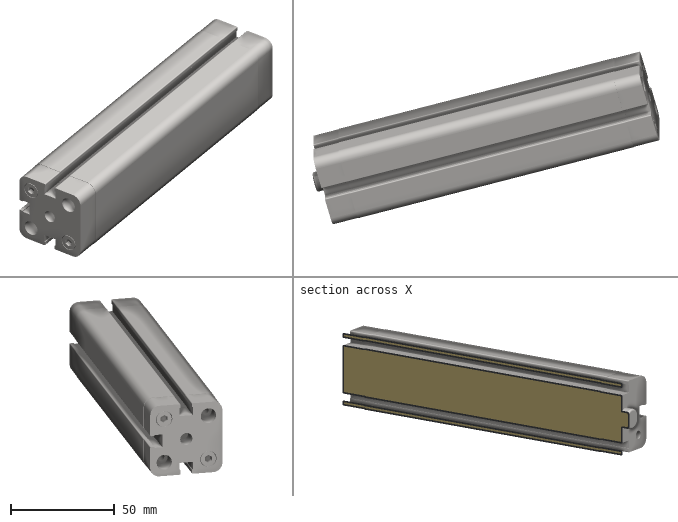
import cadquery as cq
import math

total_length = 167.5
rod_length = 4.2
housing_length = total_length - rod_length
width = 36.2
corner_radius = 4.7

cap_length = 12.5
cap_inset = 0.2

slot_depth = 6.0
slot_width = 6.5
slot_mouth_width = 5.5
slot_lip_thickness = 2.0
slot_lip_radius = (slot_width - slot_mouth_width) / 2

hole_spacing = 22.0
hole_offset = hole_spacing / 2
hole_diameter = 4.2
counterbore_diameter = 7.5
counterbore_depth = 8.4

screw_bore_diameter = 8.0
screw_head_diameter = 7.5
screw_gap_depth = 3.4
socket_across_flats = 3.5
socket_depth = 2.5

center_hole_diameter = 6.0
center_hole_depth = 8.4

rod_diameter = 10.0
rod_end_radius = 1.0
flats_across = 8.0
flats_length = 3.2

mounting_hole_places = [(hole_offset, hole_offset), (-hole_offset, -hole_offset)]
cap_screw_places = [(-hole_offset, hole_offset), (hole_offset, -hole_offset)]


def section_plane(y):
    """Plane at y with local axes X and Z; its normal is -Y, so negative extrusions go toward +Y."""
    return cq.Workplane(cq.Plane(origin=(0, y, 0), xDir=(1, 0, 0), normal=(0, -1, 0)))


def bar(y, length, inset):
    """Square bar with rounded corners, set in from the full width on every side."""
    side = width - 2 * inset
    blank = section_plane(y).rect(side, side).extrude(-length)
    return blank.edges("|Y").fillet(corner_radius - inset)


def cylinder(place, diameter, y, length):
    """Cylinder along +Y that starts at y."""
    return section_plane(y).center(*place).circle(diameter / 2).extrude(-length)


def slot_cutter(y, length, inset):
    """Undercut slot in the top face; the outer edge of each lip is rounded."""
    surface = width / 2 - inset
    floor = surface - slot_depth
    lip_bottom = surface - slot_lip_thickness
    round_start = surface - slot_lip_radius
    half_slot = slot_width / 2
    half_mouth = slot_mouth_width / 2
    return (
        section_plane(y)
        .moveTo(-half_slot, floor)
        .lineTo(half_slot, floor)
        .lineTo(half_slot, lip_bottom)
        .lineTo(half_mouth, lip_bottom)
        .lineTo(half_mouth, round_start)
        .radiusArc((half_slot, surface), slot_lip_radius)
        .lineTo(-half_slot, surface)
        .radiusArc((-half_mouth, round_start), slot_lip_radius)
        .lineTo(-half_mouth, lip_bottom)
        .lineTo(-half_slot, lip_bottom)
        .close()
        .extrude(-length)
    )


def housing_section(y, length, inset):
    """Length of slotted bar: the slots are in the top, -X and bottom faces."""
    section = bar(y, length, inset)
    cutter = slot_cutter(y, length, inset)
    for angle in (0, -90, 180):
        section = section.cut(cutter.rotate((0, 0, 0), (0, 1, 0), angle))
    return section


def piston_rod():
    """Rod end with a rounded tip and two flats that run out in 45 degree ramps."""
    radius = rod_diameter / 2
    half_flats = flats_across / 2
    rod = cylinder((0, 0), rod_diameter, housing_length, rod_length)
    rod = rod.faces(">Y").edges().fillet(rod_end_radius)
    flats_start = total_length - flats_length
    ramp = radius - half_flats
    flat_cutter = (
        cq.Workplane("XY")
        .polyline([
            (-half_flats, total_length),
            (-half_flats, flats_start),
            (-radius, flats_start - ramp),
            (-radius, total_length),
        ])
        .close()
        .extrude(radius, both=True)
    )
    return rod.cut(flat_cutter).cut(flat_cutter.mirror("YZ"))


def mounting_hole(place):
    """Through hole with a counterbore in the front face."""
    hole = cylinder(place, hole_diameter, 0, housing_length)
    return hole.union(cylinder(place, counterbore_diameter, 0, counterbore_depth))


def cap_screw_recess(place):
    """Space around a socket head screw: ring gap and hexagon socket."""
    head = cylinder(place, screw_head_diameter, 0, screw_gap_depth)
    socket_across_corners = socket_across_flats / math.cos(math.pi / 6)
    socket = (
        section_plane(0)
        .center(*place)
        .transformed(rotate=(0, 0, 90))
        .polygon(6, socket_across_corners)
        .extrude(-socket_depth)
    )
    return cylinder(place, screw_bore_diameter, 0, screw_gap_depth).cut(head).union(socket)


rear_cap_start = housing_length - cap_length
barrel_length = rear_cap_start - cap_length

result = housing_section(0, cap_length, cap_inset)
result = result.union(housing_section(cap_length, barrel_length, 0))
result = result.union(housing_section(rear_cap_start, cap_length, cap_inset))
result = result.union(piston_rod())

for place in mounting_hole_places:
    result = result.cut(mounting_hole(place))
for place in cap_screw_places:
    result = result.cut(cap_screw_recess(place))
result = result.cut(cylinder((0, 0), center_hole_diameter, 0, center_hole_depth))